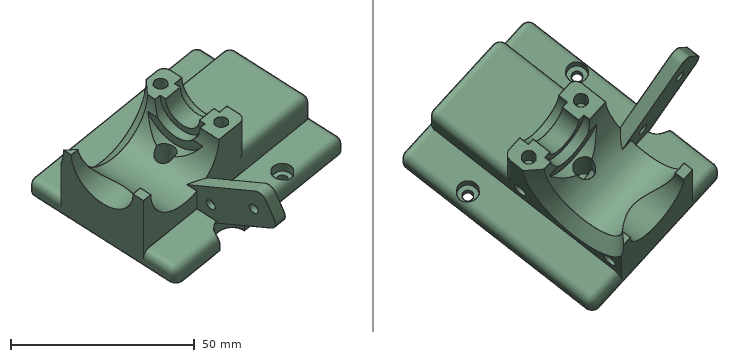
import cadquery as cq
import math

plate_width = 54.0
plate_length = 69.0
plate_height = 5.0
edge_radius = 2.5

housing_width = 30.0
rear_block_height = 13.0
tower_height = 25.0
tower_length = 42.0

cradle_y = 17.0
cradle_radius = 14.0
cradle_flare = 4.0

front_bore_radius = 11.2
front_bore_end = 30.0
shaft_radius = 6.15
collar_radius = 8.2
front_collar_end = 33.0
rear_collar_start = 38.95

screw_diameter = 3.2
screw_head_diameter = 6.2
screw_seat_z = 2.0
ear_screw_x = 23.0
ear_screw_y = 48.0
center_screw_y = 25.95
pin_diameter = 4.0
pin_depth = 7.05
tower_pin_x = 11.0
tower_pin_y = 36.4
side_pin_front_y = 4.2
side_pin_rear_y = 36.2
side_pin_z = 9.25

notch_radius = 5.0
notch_y = 22.85

arm_angle = 30
arm_length = 45.0
arm_width = 12.0
arm_thickness = 4.0
arm_rear_y = 25.95
arm_corner_radius = 2.95
arm_reach_x = 70.55 - plate_width / 2
arm_top_z = 26.6
arm_hole_end_distance = 7.0
arm_hole_spacing = 18.0


def block(width, length, height):
    """Box centred on X, standing on Z = 0 and starting at Y = 0."""
    return cq.Workplane("XY").box(width, length, height, centered=(True, False, False))


def cylinder(radius, height, start, direction):
    return cq.Workplane(cq.Solid.makeCylinder(radius, height, cq.Vector(*start), cq.Vector(*direction)))


def make_base():
    plate = block(plate_width, plate_length, plate_height)
    plate = plate.edges("|Z or >Z").fillet(edge_radius)
    notch = cylinder(notch_radius, plate_height, (plate_width / 2, notch_y, 0), (0, 0, 1))
    return plate.cut(notch)


def make_housing():
    rear = block(housing_width, plate_length, rear_block_height)
    rear = rear.edges("(|Z and >Y) or (>Z and (not <Y))").fillet(edge_radius)
    tower = block(housing_width, tower_length, tower_height)
    tower = tower.edges("|Z and >Y").fillet(edge_radius)
    return rear.union(tower)


def make_cradle_cutter():
    left = -housing_width / 2
    bore = cylinder(cradle_radius, housing_width, (left, cradle_y, tower_height), (1, 0, 0))
    flare = cq.Workplane(cq.Solid.makeCone(
        cradle_radius + cradle_flare, cradle_radius, cradle_flare,
        cq.Vector(left, cradle_y, tower_height), cq.Vector(1, 0, 0),
    ))
    return bore.union(flare)


def shaft_bore(radius, start_y, end_y):
    return cylinder(radius, end_y - start_y, (0, start_y, tower_height), (0, 1, 0))


def screw_cutter(x, y):
    """Through hole with a head recess open to the top."""
    hole = cylinder(screw_diameter / 2, tower_height, (x, y, 0), (0, 0, 1))
    recess = cylinder(screw_head_diameter / 2, tower_height, (x, y, screw_seat_z), (0, 0, 1))
    return hole.union(recess)


def make_arm():
    slope = math.radians(arm_angle)
    radius = arm_corner_radius
    half = arm_width / 2
    inset = radius * (math.sin(slope) + math.cos(slope) - 1)
    end_x = arm_reach_x - half * math.sin(slope) + inset
    end_z = arm_top_z - half * math.cos(slope) + inset

    bar = cq.Workplane("XZ").center(-arm_length / 2, 0).rect(arm_length, arm_width).extrude(arm_thickness)
    bar = bar.edges("|Y and >X").fillet(radius)
    for distance in (arm_hole_end_distance, arm_hole_end_distance + arm_hole_spacing):
        bar = bar.cut(cylinder(screw_diameter / 2, arm_thickness, (-distance, 0, 0), (0, -1, 0)))
    bar = bar.rotate((0, 0, 0), (0, 1, 0), -arm_angle).translate((end_x, arm_rear_y, end_z))
    above_ground = block(2 * arm_reach_x, plate_length, arm_top_z + 0.7)
    return bar.intersect(above_ground)


body = make_base().union(make_housing())
body = body.cut(make_cradle_cutter())

body = body.cut(shaft_bore(front_bore_radius, 0, front_bore_end))
body = body.cut(shaft_bore(shaft_radius, 0, tower_length))
body = body.cut(shaft_bore(collar_radius, 0, front_collar_end))
body = body.cut(shaft_bore(collar_radius, rear_collar_start, tower_length))

for screw_x, screw_y in ((-ear_screw_x, ear_screw_y), (ear_screw_x, ear_screw_y), (0, center_screw_y)):
    body = body.cut(screw_cutter(screw_x, screw_y))

for pin_x in (-tower_pin_x, tower_pin_x):
    body = body.cut(cylinder(pin_diameter / 2, pin_depth, (pin_x, tower_pin_y, tower_height), (0, 0, -1)))
for pin_y in (side_pin_front_y, side_pin_rear_y):
    body = body.cut(cylinder(pin_diameter / 2, pin_depth, (-housing_width / 2, pin_y, side_pin_z), (1, 0, 0)))

result = body.union(make_arm())